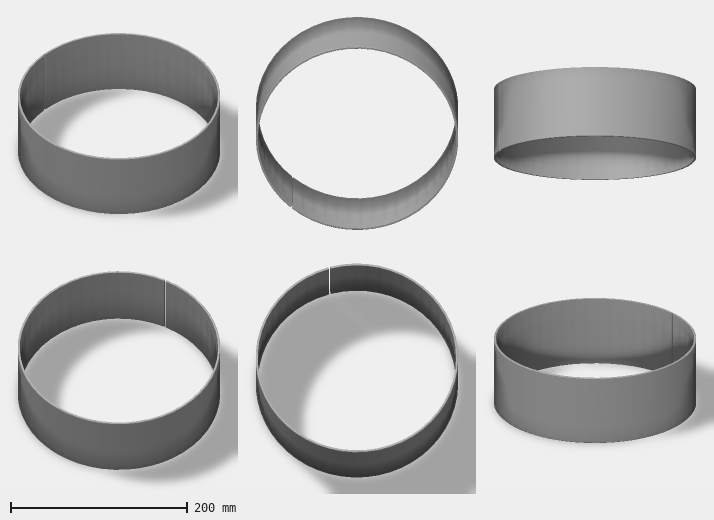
import cadquery as cq

outer_diameter = 230.0
wall_thickness = 2.5
height = 80.0
outer_chamfer = 0.5
inner_chamfer = 0.2
slit_angle = 1.0

outer_radius = outer_diameter / 2
inner_radius = outer_radius - wall_thickness
sweep_angle = 360.0 - slit_angle


def make_wall_section():
    """Chamfered wall cross-section on the -X side, standing on Z = 0."""
    outer_x = -outer_radius
    inner_x = -inner_radius
    return (
        cq.Workplane("XZ")
        .moveTo(outer_x, outer_chamfer)
        .lineTo(outer_x, height - outer_chamfer)
        .lineTo(outer_x + outer_chamfer, height)
        .lineTo(inner_x - inner_chamfer, height)
        .lineTo(inner_x, height - inner_chamfer)
        .lineTo(inner_x, inner_chamfer)
        .lineTo(inner_x - inner_chamfer, 0)
        .lineTo(outer_x + outer_chamfer, 0)
        .close()
    )


def make_split_ring():
    """Sweep the wall about Z, starting at -X and passing -Y first.

    The sweep stops short of a full turn, which leaves a narrow slit just on the +Y side of -X.
    """
    axis_start = (0, 0, 0)
    axis_end = (0, 1, 0)
    return make_wall_section().revolve(sweep_angle, axis_start, axis_end)


result = make_split_ring()